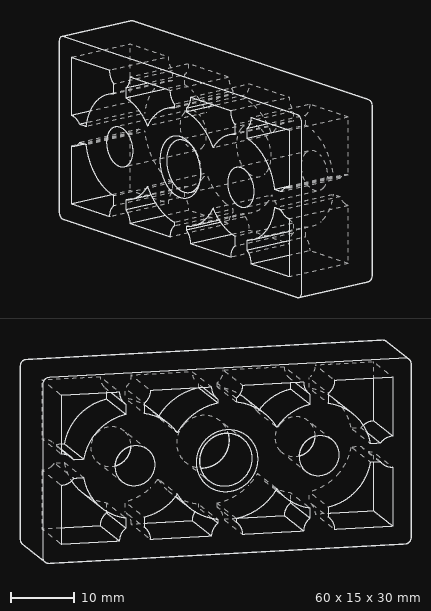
import cadquery as cq

length = 60.0
height = 30.0
depth = 15.0
edge_radius = 1.0

wall = 3.0
floor = 3.0
pocket_depth = depth - floor
rib_width = 3.0
rib_root_radius = 2.5

hole_spacing = 15.0
side_boss_diameter = 17.0
center_boss_diameter = 19.0
side_hole_diameter = 6.5
center_hole_diameter = 8.5
center_chamfer_diameter = 10.0
center_chamfer = (center_chamfer_diameter - center_hole_diameter) / 2

cavity_length = length - 2 * wall
cavity_height = height - 2 * wall
side_hole_points = [(-hole_spacing, 0), (hole_spacing, 0)]
rib_points = [(-hole_spacing, 0), (0, 0), (hole_spacing, 0)]


def front_plane():
    """Sketch plane on the open front face, with local x, y along X, Z and the normal along -Y."""
    return cq.Workplane("XZ", origin=(0, -depth / 2, 0))


def make_block():
    block = cq.Workplane("XY").box(length, depth, height)
    return block.edges("|Y or >Y").fillet(edge_radius)


def make_pockets():
    """Cavity minus the bosses, the ribs and the round thickening where each rib meets the wall."""
    cavity = front_plane().rect(cavity_length, cavity_height).extrude(-pocket_depth)
    root_points = [(x, side * cavity_height / 2) for x, _ in rib_points for side in (-1, 1)]
    root_points += [(side * cavity_length / 2, 0) for side in (-1, 1)]

    side_bosses = front_plane().pushPoints(side_hole_points).circle(side_boss_diameter / 2)
    center_boss = front_plane().circle(center_boss_diameter / 2)
    cross_ribs = front_plane().pushPoints(rib_points).rect(rib_width, cavity_height)
    long_rib = front_plane().rect(cavity_length, rib_width)
    rib_roots = front_plane().pushPoints(root_points).circle(rib_root_radius)

    for outline in (side_bosses, center_boss, cross_ribs, long_rib, rib_roots):
        cavity = cavity.cut(outline.extrude(-pocket_depth))
    return cavity


def make_holes():
    """Two plain side holes and a center hole chamfered at the front."""
    side_holes = front_plane().pushPoints(side_hole_points).circle(side_hole_diameter / 2).extrude(-depth)
    center_hole = front_plane().circle(center_hole_diameter / 2).extrude(-depth)
    chamfer_cone = (
        front_plane()
        .circle(center_chamfer_diameter / 2)
        .workplane(offset=-center_chamfer)
        .circle(center_hole_diameter / 2)
        .loft()
    )
    return side_holes.union(center_hole).union(chamfer_cone)


result = make_block().cut(make_pockets()).cut(make_holes())